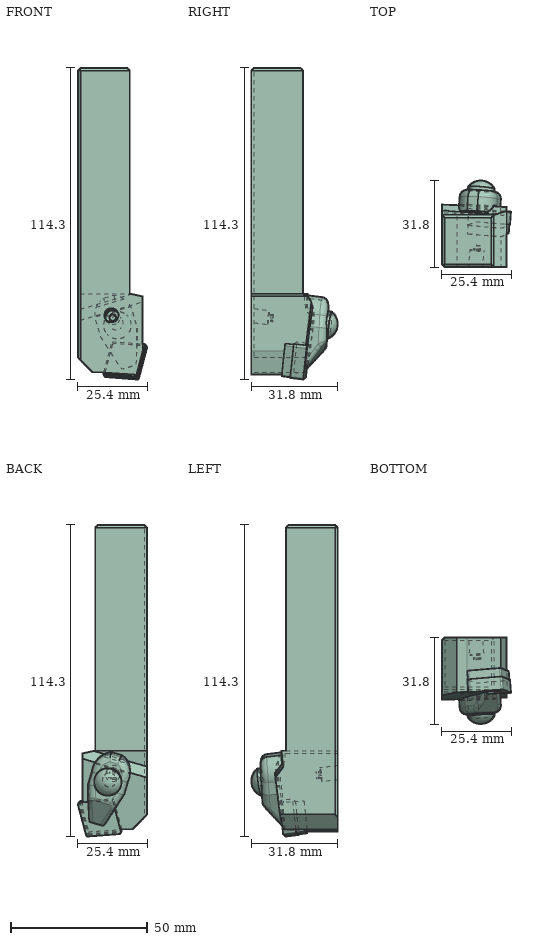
import cadquery as cq
import math

length = 114.3
shank_size = 19.1
shank_chamfer = 1.0

head_width = 23.8
shoulder_inner_height = 31.5
shoulder_outer_height = 30.5
heel_height = 8.1
heel_run = 5.4
head_bottom = 2.6
seat_start = 9.1
toe_x = 21.5
toe_height = 1.8
flank_height = 10.6
head_depth = 27.4

reach = 25.4
corner_radius = 0.8
corner_spacing = 11.3
insert_thickness = 4.8
shim_thickness = 3.2
shim_inset = 0.2
side_edge_angle = 75.0
end_edge_angle = 175.0

rake_x = 0.075
rake_z = 0.125

screw_x = 14.0
screw_z = 20.8
clamp_turn = 16.0
clamp_ramp_start = -7.3
clamp_tail_drop = 3.0
tail_end = -9.7
tail_half_width = 2.0
tail_height = 4.9
tail_radius = 7.4
waist_start = -1.5
waist_end = 3.3
waist_half_width = 6.9
brow_position = 7.4
brow_height = 6.4
nose_end = 16.9
nose_half_width = 2.9
nose_height = 0.7
clamp_fillet = 2.7
nose_fillet = 1.7
edge_tolerance = 0.01

ridge_drop = 0.5
recess_drop = 3.9
ramp_start = -8.1

overall_depth = 31.8
screw_diameter = 5.1
screw_head_radius = 5.0
dome_radius = 5.8
shaft_depth = 6.9
screw_end_depth = 6.1
socket_size = 2.7
socket_depth = 1.7

side_angle = math.radians(side_edge_angle)
end_angle = math.radians(end_edge_angle)
side_span = corner_spacing * math.cos(side_angle) + corner_radius
corner_x = reach - side_span * math.cos(math.atan(rake_x))
corner_z = corner_radius * math.cos(math.atan(rake_z))
rake_normal = cq.Vector(rake_x, 1, -rake_z)


def face_depth(x, z):
    """Y of the insert face at a given X and Z."""
    return shank_size - rake_x * (x - corner_x) + rake_z * z


def tilted_plane(x, z, turn=0.0):
    """Plane on the insert face: local X runs near +X, local Y near -Z, both turned about its normal."""
    plane = cq.Plane(
        origin=(x, face_depth(x, z), z),
        xDir=(1 + rake_z**2, -rake_x, rake_x * rake_z),
        normal=rake_normal.toTuple(),
    )
    return plane.rotated((0, 0, turn))


insert_plane = tilted_plane(corner_x, corner_z)
clamp_plane = tilted_plane(screw_x, screw_z, 90 - clamp_turn)


def clamp_prism(points):
    """Wide prism from a polygon of (distance along the clamp, height above the insert face)."""
    side_plane = cq.Plane(
        origin=clamp_plane.origin.toTuple(),
        xDir=clamp_plane.xDir.toTuple(),
        normal=(-clamp_plane.yDir).toTuple(),
    )
    return cq.Workplane(side_plane).polyline(points).close().extrude(length, both=True)


def make_shank():
    return (
        cq.Workplane("XY", origin=(0, 0, flank_height))
        .rect(shank_size, shank_size, centered=False)
        .extrude(length - flank_height)
        .faces(">Z")
        .chamfer(shank_chamfer)
    )


def make_head():
    outline = [
        (0, heel_height),
        (heel_run, head_bottom),
        (seat_start, head_bottom),
        (toe_x, toe_height),
        (head_width, flank_height),
        (head_width, shoulder_outer_height),
        (shank_size, shoulder_inner_height),
        (0, shoulder_inner_height),
    ]
    head = cq.Workplane("XZ").polyline(outline).close().extrude(-head_depth)
    ramp_end = ramp_start + recess_drop - ridge_drop
    clearance = clamp_prism([
        (-length, -recess_drop),
        (ramp_start, -recess_drop),
        (ramp_end, -ridge_drop),
        (length, -ridge_drop),
        (length, head_depth),
        (-length, head_depth),
    ])
    return head.cut(clearance)


def edge_chamfer_cutter():
    """Triangular bar that takes off the front left edge over the whole length."""
    return (
        cq.Workplane("XY")
        .polyline([(0, 0), (shank_chamfer, 0), (0, shank_chamfer)])
        .close()
        .extrude(length)
    )


def make_plate(top, thickness, radius):
    """Rhombic plate with its top at a height above the insert face."""
    side = (corner_spacing * math.cos(side_angle), -corner_spacing * math.sin(side_angle))
    end = (corner_spacing * math.cos(end_angle), -corner_spacing * math.sin(end_angle))
    far = (side[0] + end[0], side[1] + end[1])
    return (
        cq.Workplane(insert_plane)
        .workplane(offset=top)
        .polyline([(0, 0), side, far, end])
        .close()
        .offset2D(radius)
        .extrude(-thickness)
    )


def borders_clamp_top(edge):
    """True for the rim of the clamp's top, apart from the brow where the nose slope starts."""
    center = clamp_plane.toLocalCoords(edge.Center())
    return center.z >= tail_height - edge_tolerance and center.x < brow_position - edge_tolerance


def make_clamp():
    body = (
        cq.Workplane(clamp_plane)
        .workplane(offset=-clamp_tail_drop)
        .moveTo(tail_end, -tail_half_width)
        .radiusArc((waist_start, -waist_half_width), -tail_radius)
        .lineTo(waist_end, -waist_half_width)
        .lineTo(nose_end, -nose_half_width)
        .lineTo(nose_end, nose_half_width)
        .lineTo(waist_end, waist_half_width)
        .lineTo(waist_start, waist_half_width)
        .radiusArc((tail_end, tail_half_width), -tail_radius)
        .close()
        .extrude(clamp_tail_drop + brow_height)
    )
    ramp_end = clamp_ramp_start + clamp_tail_drop
    side = clamp_prism([
        (tail_end, -clamp_tail_drop),
        (clamp_ramp_start, -clamp_tail_drop),
        (ramp_end, 0),
        (nose_end, 0),
        (nose_end, nose_height),
        (brow_position, brow_height),
        (tail_end, tail_height),
    ])
    clamp = body.intersect(side)
    top_edges = [edge for edge in clamp.edges().vals() if borders_clamp_top(edge)]
    clamp = clamp.newObject(top_edges).fillet(clamp_fillet)
    brow = clamp_plane.toWorldCoords((brow_position, 0, brow_height)).toTuple()
    return clamp.edges(cq.selectors.NearestToPointSelector(brow)).fillet(nose_fillet)


def make_screw():
    """Domed head above the clamp, with a shaft that joins the clamp to the head of the holder."""
    dome_center = (overall_depth - dome_radius - face_depth(screw_x, screw_z)) * rake_normal.Length
    rim_angle = math.asin(screw_head_radius / dome_radius)
    rim_height = dome_center + dome_radius * math.cos(rim_angle)
    dome_middle = (
        dome_radius * math.sin(rim_angle / 2),
        dome_center + dome_radius * math.cos(rim_angle / 2),
    )
    shaft_radius = screw_diameter / 2
    profile = (
        cq.Workplane(clamp_plane)
        .transformed(rotate=(90, 0, 0))
        .moveTo(0, -shaft_depth)
        .lineTo(shaft_radius, -shaft_depth)
        .lineTo(shaft_radius, 0)
        .lineTo(screw_head_radius, 0)
        .lineTo(screw_head_radius, rim_height)
        .threePointArc(dome_middle, (0, dome_center + dome_radius))
        .close()
    )
    return profile.revolve(360, (0, 0, 0), (0, 1, 0))


def make_screw_hole():
    """Hole from the front along the tilted screw axis, ending at the screw's hexagon socket."""
    end = screw_end_depth - face_depth(screw_x, screw_z)
    end_plane = cq.Workplane(clamp_plane).workplane(offset=end)
    hole = end_plane.circle(screw_diameter / 2).extrude(-2 * screw_end_depth)
    socket = end_plane.polygon(6, socket_size).extrude(socket_depth)
    return hole.union(socket)


shim = make_plate(-insert_thickness, shim_thickness, corner_radius - shim_inset)
insert = make_plate(0, insert_thickness, corner_radius)
holder = (
    make_shank()
    .union(make_head())
    .cut(edge_chamfer_cutter())
    .union(shim)
    .union(make_clamp())
    .union(make_screw())
    .cut(insert)
    .cut(make_screw_hole())
)

result = cq.Compound.makeCompound([holder.val(), insert.val()])